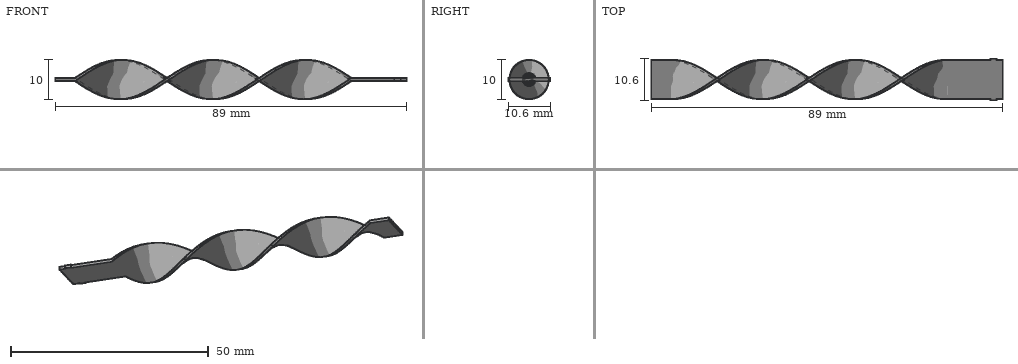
import cadquery as cq

total_length = 89.0
strip_width = 10.0
strip_thickness = 0.8
start_tab_length = 5.0
end_tab_length = 14.1
twist_angle = -540.0

width_over_ears = 10.6
ear_length = 1.6
ear_end_gap = 1.6

twist_length = total_length - start_tab_length - end_tab_length
twist_end = start_tab_length + twist_length
ear_start = total_length - ear_end_gap - ear_length


def flat_plate(start, length, width):
    """Flat plate centred on the X axis, running from start toward +X."""
    return cq.Workplane("XY").box(
        length, width, strip_thickness, centered=(False, True, True)
    ).translate((start, 0, 0))


start_tab = flat_plate(0, start_tab_length, strip_width)
end_tab = flat_plate(twist_end, end_tab_length, strip_width)
ears = flat_plate(ear_start, ear_length, width_over_ears)

twisted_strip = (
    cq.Workplane("YZ", origin=(start_tab_length, 0, 0))
    .rect(strip_width, strip_thickness)
    .twistExtrude(twist_length, twist_angle)
)

result = start_tab.union(twisted_strip).union(end_tab).union(ears)